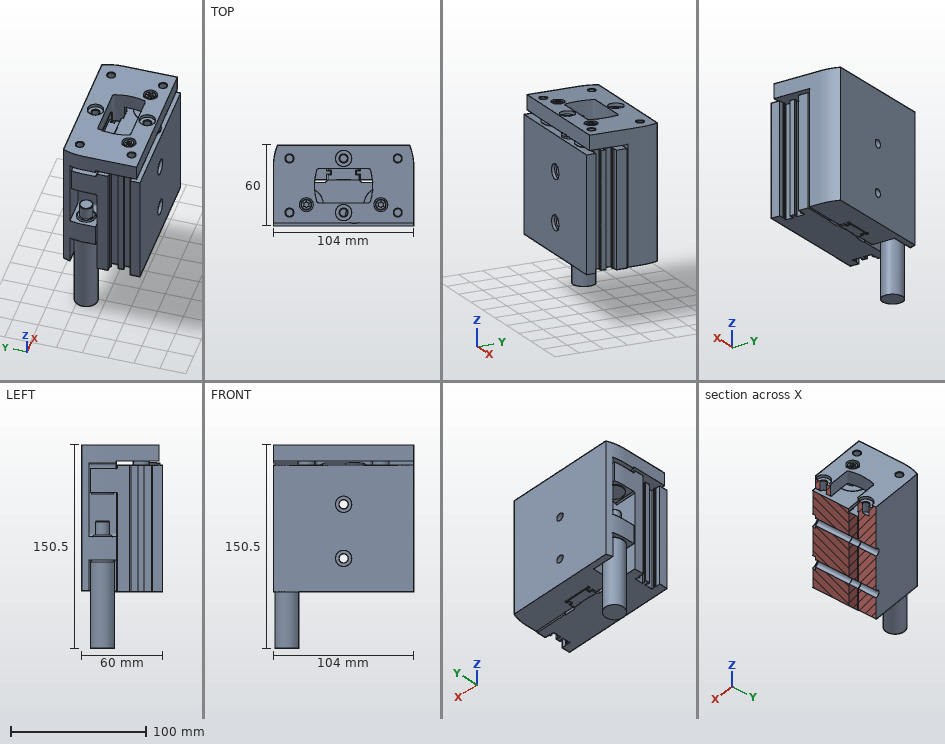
import cadquery as cq
import math


WIDTH = 104.0
HALF_WIDTH = WIDTH / 2
DEPTH = 60.0
TOTAL_HEIGHT = 150.5
HOUSING_HEIGHT = 93.6
CLEAR_CUT = 1.5

PLATE_GAP = 3.0
PLATE_THICKNESS = 12.0
PLATE_BOTTOM = HOUSING_HEIGHT + PLATE_GAP
PLATE_TOP = PLATE_BOTTOM + PLATE_THICKNESS
PLATE_FRONT = 2.5
SLIDE_FRONT = 34.3
SLIDE_BOTTOM = 0.6
BACK_WALL_FRONT = 54.5
CORNER_RADIUS = 40.0
CORNER_START = 44.5

POCKET_TOP = 95.1
POCKET_RADIUS = 2.3
POCKET_INNER_X = -30.1
BRACKET_BOTTOM = 23.3
BRACKET_TOP = 40.8

WINDOW_HALF_WIDTH = 21.5
WINDOW_CORNER_HALF_WIDTH = 19.5
WINDOW_FRONT = 17.3
WINDOW_BACK = 42.6
WINDOW_FLOOR = 82.8
WINDOW_CORNER_RADIUS = 1.8

HOLE_PITCH = 40.0
PLATE_HOLE_FRONT = 10.1
THREAD_DIAMETER = 5.5
THREAD_MOUTH = 6.6
THREAD_DEPTH = 10.5
SEAT_DIAMETER = 12.0
SEAT_DEPTH = 2.5
THROUGH_DIAMETER = 6.6
LOWER_HOLE_Z = 24.7

RAIL_HALF_WIDTH = 11.6
RAIL_FRONT = 34.0
RAIL_BACK = 42.7
RAIL_TOP = 90.8
RAIL_GROOVE_FRONT = 38.2
RAIL_GROOVE_BACK = 41.4
RAIL_GROOVE_HALF_SPAN = 9.0
RAIL_KEY_WIDTH = 10.0
RAIL_KEY_HEIGHT = 0.5
RAIL_SIDE_CLEARANCE = 0.9
RAIL_CLEARANCE = 0.3
RAIL_POCKET_HALF_WIDTH = 18.0
RAIL_POCKET_RADIUS = 4.5

HOUSING_BACK = 33.3
RELIEF_BACK = 32.5
RELIEF_HALF_WIDTH = 22.5
PEDESTAL_HALF_WIDTH = 13.2
PEDESTAL_CHAMFER = 1.4
SIDE_RECESS_FRONT = 7.7
SIDE_RECESS_BACK = 24.7
SIDE_RECESS_DEPTH = 4.2
SLOT_WIDTH = 5.4
SLOT_CENTERS_Y = (11.1, 20.9)
SLOT_NECK_DEPTH = 1.8
SLOT_CAVITY_WIDTH = 6.9
SLOT_CAVITY_DEPTH = 2.3
STOP_TOP = 91.0
STOP_BOTTOM = 73.3
STOP_BACK = 53.3
STOP_INNER_X = -32.4
STOP_PAD_DIAMETER = 16.4
STOP_PAD_HEIGHT = 0.9
PLUG_X = 7.8
PLUG_Y = 8.5
PLUG_DIAMETER = 13.0
PLUG_HEIGHT = 1.5
PLUG_TIP_DIAMETER = 7.8
PLUG_TIP_HEIGHT = 0.5

ROD_X = 27.5
ROD_Y = 16.0
ROD_DIAMETER = 12.0
ROD_BOTTOM = 7.5
BEARING_DIAMETER = 25.0
BEARING_RECESS = 0.3
HEAD_DIAMETER = 7.8
HEAD_SUNK = 0.5
HEAD_TOP = PLATE_TOP - HEAD_SUNK
HEAD_CHAMFER = 0.3
HEAD_SEAT_DIAMETER = 10.2
HEAD_SEAT_DEPTH = 4.5
SHANK_DIAMETER = 6.5
SOCKET_OUTER_RADIUS = 2.5
SOCKET_INNER_RADIUS = 1.7
SOCKET_DEPTH = 2.3
SOCKET_LOBES = 6

ABSORBER_X = -42.0
ABSORBER_Y = CORNER_START
ABSORBER_DIAMETER = 17.9
ABSORBER_BOTTOM = PLATE_TOP - TOTAL_HEIGHT
ABSORBER_CHAMFER = 1.2
NECK_DIAMETER = 14.6
NECK_CHAMFER = 0.9
NECK_PROTRUSION = 1.0
NECK_TOP = BRACKET_TOP + NECK_PROTRUSION
PIN_DIAMETER = 10.2
PIN_TOP = 52.2
PIN_CHAMFER = 0.5


def block(x_range, y_range, z_range):
    """Axis-aligned box between two coordinates on each axis."""
    sizes = [high - low for low, high in (x_range, y_range, z_range)]
    corner = (x_range[0], y_range[0], z_range[0])
    return cq.Workplane("XY").box(*sizes, centered=False).translate(corner)


def post(x, y, diameter, z_bottom, z_top):
    """Upright cylinder."""
    return cq.Workplane("XY", origin=(x, y, z_bottom)).circle(diameter / 2).extrude(z_top - z_bottom)


def mouth_cone(x, y, z_top):
    """Chamfer tool for the mouth of a threaded hole."""
    depth = (THREAD_MOUTH - THREAD_DIAMETER) / 2
    mouth = cq.Workplane("XY", origin=(x, y, z_top)).circle(THREAD_MOUTH / 2)
    return mouth.workplane(offset=-depth).circle(THREAD_DIAMETER / 2).loft()


def cross_bores(diameter, depth):
    """Two bores along Y that start at the housing front face."""
    centers = [(0, LOWER_HOLE_Z), (0, LOWER_HOLE_Z + HOLE_PITCH)]
    return cq.Workplane("XZ").pushPoints(centers).circle(diameter / 2).extrude(-depth)


def flank_outline(front, back, z_bottom, z_top):
    """Full-width prism whose flanks curve inwards behind CORNER_START."""
    def flank_x(y):
        return HALF_WIDTH - CORNER_RADIUS + math.sqrt(CORNER_RADIUS**2 - (y - CORNER_START)**2)

    middle = (CORNER_START + back) / 2
    outline = (
        cq.Workplane("XY", origin=(0, 0, z_bottom))
        .moveTo(-HALF_WIDTH, front)
        .lineTo(HALF_WIDTH, front)
        .lineTo(HALF_WIDTH, CORNER_START)
        .threePointArc((flank_x(middle), middle), (flank_x(back), back))
        .lineTo(-flank_x(back), back)
        .threePointArc((-flank_x(middle), middle), (-HALF_WIDTH, CORNER_START))
        .close()
    )
    return outline.extrude(z_top - z_bottom)



def flank_pocket(z_bottom, z_top, rounded_edges):
    """Pocket milled into the left flank, with rounded inner corners."""
    pocket = block(
        (-HALF_WIDTH - CLEAR_CUT, POCKET_INNER_X),
        (SLIDE_FRONT - CLEAR_CUT, BACK_WALL_FRONT),
        (z_bottom, z_top),
    )
    return pocket.edges(rounded_edges).fillet(POCKET_RADIUS)


def plate_window():
    """Window with bowed ends, cut from the plate top down to the guide."""
    middle = (WINDOW_FRONT + WINDOW_BACK) / 2
    window = (
        cq.Workplane("XY", origin=(0, 0, WINDOW_FLOOR))
        .moveTo(-WINDOW_CORNER_HALF_WIDTH, WINDOW_FRONT)
        .lineTo(WINDOW_CORNER_HALF_WIDTH, WINDOW_FRONT)
        .threePointArc((WINDOW_HALF_WIDTH, middle), (WINDOW_CORNER_HALF_WIDTH, WINDOW_BACK))
        .lineTo(-WINDOW_CORNER_HALF_WIDTH, WINDOW_BACK)
        .threePointArc((-WINDOW_HALF_WIDTH, middle), (-WINDOW_CORNER_HALF_WIDTH, WINDOW_FRONT))
        .close()
        .extrude(PLATE_TOP - WINDOW_FLOOR)
    )
    return window.edges("|Z").fillet(WINDOW_CORNER_RADIUS)


def rail_channel():
    """Channel around the guide rail, leaving a rib that runs in each rail groove."""
    half_width = RAIL_HALF_WIDTH + RAIL_SIDE_CLEARANCE
    channel = block(
        (-half_width, half_width),
        (SLIDE_FRONT - CLEAR_CUT, RAIL_BACK + RAIL_CLEARANCE),
        (SLIDE_BOTTOM, WINDOW_FLOOR),
    )
    rib_tip = RAIL_GROOVE_HALF_SPAN + RAIL_CLEARANCE
    for x_range in ((-half_width, -rib_tip), (rib_tip, half_width)):
        rib = block(
            x_range,
            (RAIL_GROOVE_FRONT + RAIL_CLEARANCE, RAIL_GROOVE_BACK - RAIL_CLEARANCE),
            (SLIDE_BOTTOM, WINDOW_FLOOR),
        )
        channel = channel.cut(rib)
    end_pocket = block(
        (-RAIL_POCKET_HALF_WIDTH, RAIL_POCKET_HALF_WIDTH),
        (SLIDE_FRONT - CLEAR_CUT, RAIL_BACK + RAIL_CLEARANCE),
        (WINDOW_FLOOR, POCKET_TOP),
    ).edges("|Y and >Z").fillet(RAIL_POCKET_RADIUS)
    return channel.union(end_pocket)


def plate_holes():
    """Threaded corner holes, seated centre holes and screw seats of the end plate."""
    tools = cq.Workplane("XY")
    for y in (PLATE_HOLE_FRONT, PLATE_HOLE_FRONT + HOLE_PITCH):
        for x in (-HOLE_PITCH, 0, HOLE_PITCH):
            mouth_z = PLATE_TOP - SEAT_DEPTH if x == 0 else PLATE_TOP
            bottom_z = PLATE_BOTTOM if x == 0 else PLATE_TOP - THREAD_DEPTH
            tools = tools.union(post(x, y, THREAD_DIAMETER, bottom_z, mouth_z))
            tools = tools.union(mouth_cone(x, y, mouth_z))
        tools = tools.union(post(0, y, SEAT_DIAMETER, PLATE_TOP - SEAT_DEPTH, PLATE_TOP))
    for x in (-ROD_X, ROD_X):
        tools = tools.union(post(x, ROD_Y, SHANK_DIAMETER, PLATE_BOTTOM, PLATE_TOP))
        tools = tools.union(post(x, ROD_Y, HEAD_SEAT_DIAMETER, PLATE_TOP - HEAD_SEAT_DEPTH, PLATE_TOP))
    return tools


def make_slide():
    slide = flank_outline(PLATE_FRONT, DEPTH, SLIDE_BOTTOM, PLATE_TOP)
    slide = slide.cut(
        block((-HALF_WIDTH, HALF_WIDTH), (PLATE_FRONT, SLIDE_FRONT), (SLIDE_BOTTOM, PLATE_BOTTOM))
    )
    slide = slide.cut(flank_pocket(BRACKET_TOP, POCKET_TOP, "|Y and >X"))
    slide = slide.cut(flank_pocket(SLIDE_BOTTOM - CLEAR_CUT, BRACKET_BOTTOM, "|Y and >X and >Z"))
    slide = slide.cut(plate_window())
    slide = slide.cut(rail_channel())
    slide = slide.cut(plate_holes())
    slide = slide.cut(post(ABSORBER_X, ABSORBER_Y, NECK_DIAMETER, BRACKET_BOTTOM, BRACKET_TOP))
    return slide.cut(cross_bores(THROUGH_DIAMETER, DEPTH))



def side_recess(side):
    """Recess with two T-slots along one flank; side is -1 for left, 1 for right."""
    def layer(center_y, width, start, depth):
        x_limits = (side * (HALF_WIDTH - start - depth), side * (HALF_WIDTH - start))
        y_range = (center_y - width / 2, center_y + width / 2)
        return block(sorted(x_limits), y_range, (0, HOUSING_HEIGHT))

    recess_center = (SIDE_RECESS_FRONT + SIDE_RECESS_BACK) / 2
    recess = layer(recess_center, SIDE_RECESS_BACK - SIDE_RECESS_FRONT, 0, SIDE_RECESS_DEPTH)
    for y in SLOT_CENTERS_Y:
        recess = recess.union(layer(y, SLOT_WIDTH, SIDE_RECESS_DEPTH, SLOT_NECK_DEPTH))
        cavity_start = SIDE_RECESS_DEPTH + SLOT_NECK_DEPTH
        recess = recess.union(layer(y, SLOT_CAVITY_WIDTH, cavity_start, SLOT_CAVITY_DEPTH))
    return recess


def rail_seat():
    """Chamfered pedestal and locating key that carry the guide rail."""
    pedestal = block(
        (-PEDESTAL_HALF_WIDTH, PEDESTAL_HALF_WIDTH), (RELIEF_BACK, RAIL_FRONT), (0, HOUSING_HEIGHT)
    ).edges("|Z and >Y").chamfer(PEDESTAL_CHAMFER)
    key = block(
        (-RAIL_KEY_WIDTH / 2, RAIL_KEY_WIDTH / 2),
        (RELIEF_BACK, RAIL_FRONT + RAIL_KEY_HEIGHT),
        (0, RAIL_TOP),
    )
    return pedestal.union(key)


def stop_block():
    """Stop behind the left flank, with a bevelled root and a round pad facing the shock absorber."""
    stop = flank_outline(RELIEF_BACK, STOP_BACK, STOP_BOTTOM, STOP_TOP)
    stop = stop.intersect(block((-HALF_WIDTH, STOP_INNER_X), (0, DEPTH), (0, HOUSING_HEIGHT)))
    pad = post(ABSORBER_X, ABSORBER_Y, STOP_PAD_DIAMETER, STOP_BOTTOM - STOP_PAD_HEIGHT, STOP_BOTTOM)
    shoulder = SLIDE_FRONT - HOUSING_BACK
    root_profile = (
        cq.Workplane("YZ", origin=(-HALF_WIDTH, 0, 0))
        .moveTo(HOUSING_BACK, STOP_BOTTOM - shoulder)
        .lineTo(SLIDE_FRONT, STOP_BOTTOM)
        .lineTo(SLIDE_FRONT, STOP_TOP)
        .lineTo(HOUSING_BACK, STOP_TOP + shoulder)
        .close()
    )
    root = root_profile.extrude(STOP_INNER_X + HALF_WIDTH)
    return stop.union(root).union(pad)


def top_plug():
    """Stepped round boss on the housing top."""
    plug_top = HOUSING_HEIGHT + PLUG_HEIGHT
    plug = post(PLUG_X, PLUG_Y, PLUG_DIAMETER, HOUSING_HEIGHT, plug_top)
    return plug.union(post(PLUG_X, PLUG_Y, PLUG_TIP_DIAMETER, plug_top, plug_top + PLUG_TIP_HEIGHT))


def make_housing():
    housing = block((-HALF_WIDTH, HALF_WIDTH), (0, HOUSING_BACK), (0, HOUSING_HEIGHT))
    relief = block(
        (-RELIEF_HALF_WIDTH, RELIEF_HALF_WIDTH), (RELIEF_BACK, HOUSING_BACK), (0, HOUSING_HEIGHT)
    )
    housing = housing.cut(relief).union(rail_seat()).union(stop_block())
    for side in (-1, 1):
        housing = housing.cut(side_recess(side))
        bearing_bottom = HOUSING_HEIGHT - BEARING_RECESS
        housing = housing.cut(post(side * ROD_X, ROD_Y, BEARING_DIAMETER, bearing_bottom, HOUSING_HEIGHT))
        housing = housing.cut(post(side * ROD_X, ROD_Y, ROD_DIAMETER, ROD_BOTTOM, HOUSING_HEIGHT))
    housing = housing.union(top_plug()).cut(cross_bores(THROUGH_DIAMETER, DEPTH))
    return housing.cut(cross_bores(SEAT_DIAMETER, SEAT_DEPTH))



def make_guide_rail():
    rail = block((-RAIL_HALF_WIDTH, RAIL_HALF_WIDTH), (RAIL_FRONT, RAIL_BACK), (0, RAIL_TOP))
    for x_range in (
        (-RAIL_HALF_WIDTH, -RAIL_GROOVE_HALF_SPAN),
        (RAIL_GROOVE_HALF_SPAN, RAIL_HALF_WIDTH),
    ):
        rail = rail.cut(block(x_range, (RAIL_GROOVE_FRONT, RAIL_GROOVE_BACK), (0, RAIL_TOP)))
    keyway = block(
        (-RAIL_KEY_WIDTH / 2, RAIL_KEY_WIDTH / 2),
        (RAIL_FRONT, RAIL_FRONT + RAIL_KEY_HEIGHT),
        (0, RAIL_TOP),
    )
    return rail.cut(keyway).cut(cross_bores(THROUGH_DIAMETER, DEPTH))



def screw_socket(x):
    """Six-lobed star socket in the screw head."""
    points = []
    for corner in range(2 * SOCKET_LOBES):
        radius = SOCKET_OUTER_RADIUS if corner % 2 == 0 else SOCKET_INNER_RADIUS
        angle = math.pi / 2 + corner * math.pi / SOCKET_LOBES
        points.append((radius * math.cos(angle), radius * math.sin(angle)))
    star = cq.Workplane("XY", origin=(x, ROD_Y, HEAD_TOP)).polyline(points).close()
    return star.extrude(-SOCKET_DEPTH)


def make_piston_rod(x):
    rod = post(x, ROD_Y, ROD_DIAMETER, ROD_BOTTOM, PLATE_BOTTOM)
    head_bottom = PLATE_TOP - HEAD_SEAT_DEPTH
    shank = post(x, ROD_Y, SHANK_DIAMETER, PLATE_BOTTOM, head_bottom)
    head = post(x, ROD_Y, HEAD_DIAMETER, head_bottom, HEAD_TOP).faces(">Z").chamfer(HEAD_CHAMFER)
    return rod.union(shank).union(head).cut(screw_socket(x))



def make_shock_absorber():
    body = post(ABSORBER_X, ABSORBER_Y, ABSORBER_DIAMETER, ABSORBER_BOTTOM, BRACKET_BOTTOM)
    body = body.faces(">Z").chamfer(ABSORBER_CHAMFER)
    neck = post(ABSORBER_X, ABSORBER_Y, NECK_DIAMETER, BRACKET_BOTTOM, NECK_TOP)
    neck = neck.faces(">Z").chamfer(NECK_CHAMFER)
    pin = post(ABSORBER_X, ABSORBER_Y, PIN_DIAMETER, NECK_TOP, PIN_TOP).faces(">Z").chamfer(PIN_CHAMFER)
    return body.union(neck).union(pin)


slide = make_slide()
housing = make_housing()
guide_rail = make_guide_rail()
piston_rods = [make_piston_rod(x) for x in (-ROD_X, ROD_X)]
shock_absorber = make_shock_absorber()

result = cq.Compound.makeCompound(
    [
        slide.val(),
        housing.val(),
        guide_rail.val(),
        *[rod.val() for rod in piston_rods],
        shock_absorber.val(),
    ]
)